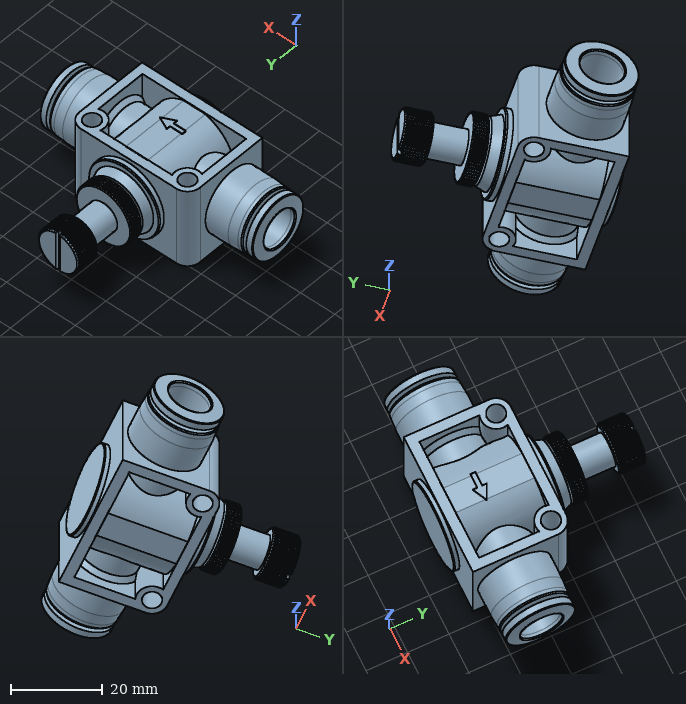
import cadquery as cq
import math


body_half_x = 17.5
body_half_z = 11.5
body_front = -10.0
body_back = 14.2
corner_radius = 3.65
side_wall = 2.45
front_wall = 2.65
back_wall = 2.5
mount_hole_diameter = 4.4
cavity_half_x = body_half_x - side_wall
cavity_front = body_front + front_wall
cavity_back = body_back - back_wall
mount_x = body_half_x - corner_radius
mount_y = body_back - corner_radius

core_radius = 11.7
core_flat_z = 11.25

stub_radius = 7.5
stub_flare_radius = 8.5
stub_flare_length = 1.3

cap_radius = 10.75
cap_height = 1.3
cap_chamfer = 0.25

port_radius = 8.8
port_straight_end = 24.05
port_taper_end = 26.7
port_taper_radius = 8.6
sleeve_chamfer_start = 27.7
sleeve_radius = 8.55
sleeve_end = 28.1
sleeve_end_radius = 8.35
neck_radius = 5.65
collar_start = 29.1
collar_radius = 8.4
collar_edge = 30.9
collar_edge_chamfer = 0.2
port_tip = 31.4
tube_radius = 5.0
tube_lead_radius = 5.1
tube_lead_depth = 1.25
tube_mouth_radius = 5.35
tube_mouth_depth = 0.3
tube_depth = 13.8
passage_radius = 4.0

flange_radius = 10.3
flange_chamfer_radial = 0.2
flange_chamfer_axial = 0.4
flange_end = 15.8
cone_base_radius = 8.65
cone_top_radius = 7.8
cone_end = 18.35
spacer_radius = 5.3
nut_start = 18.9
nut_end = 22.5
nut_radius = 8.1
nut_teeth = 60
nut_chamfer = 0.4
stem_radius = 4.1
knob_start = 30.85
knob_end = 37.35
knob_radius = 6.0
knob_teeth = 48
knob_chamfer = 0.5
knurl_depth = 0.25
knurl_crest_fraction = 0.25
knurl_clearance = 0.05
slot_width = 1.2
slot_depth = 0.95

arrow_tail_x = -3.5
arrow_neck_x = 0.0
arrow_tip_x = 3.5
arrow_shaft_half = 0.595
arrow_head_half = 1.7
arrow_height = 0.1
arrow_root = 0.1


def y_cylinder(radius, start, end):
    """Solid cylinder on the Y axis between two stations."""
    return cq.Workplane("XZ", origin=(0, start, 0)).circle(radius).extrude(start - end)


def x_cylinder(radius, half_length):
    """Solid cylinder on the X axis, centred on the origin."""
    return cq.Workplane("YZ").circle(radius).extrude(half_length, both=True)


def revolve_about_y(profile):
    """Revolve a closed profile of (radius, y) points about the Y axis."""
    return cq.Workplane("XY").polyline(profile).close().revolve(360, (0, 0, 0), (0, 1, 0))


def revolve_about_x(profile):
    """Revolve a closed profile of (x, radius) points about the X axis."""
    return cq.Workplane("XY").polyline(profile).close().revolve(360, (0, 0, 0), (1, 0, 0))


def on_both_sides(half):
    """Join a feature on the +X side with its mirror image on the -X side."""
    return half.union(half.mirror("YZ"))


def cavity_box(width, height):
    """Box as deep as the body cavity, centred on zero in X and Z."""
    mid_y = (cavity_front + cavity_back) / 2
    return cq.Workplane("XY").center(0, mid_y).box(width, cavity_back - cavity_front, height)


def make_frame():
    """Block with rounded back corners, open through Z, with a mounting boss in each back corner."""
    height = 2 * body_half_z
    depth = body_back - body_front
    block = (
        cq.Workplane("XY")
        .center(0, (body_front + body_back) / 2)
        .box(2 * body_half_x, depth, height)
        .edges("|Z and >Y")
        .fillet(corner_radius)
    )
    cavity = cavity_box(2 * cavity_half_x, height)
    bosses = (
        cq.Workplane("XY", origin=(0, 0, -body_half_z))
        .pushPoints([(-mount_x, mount_y), (mount_x, mount_y)])
        .circle(corner_radius)
        .extrude(height)
    )
    return block.cut(cavity).union(bosses)


def make_core():
    """Round core with two flats, and the flared stubs that meet it, trimmed to the cavity."""
    flats = cavity_box(2 * core_radius, 2 * core_flat_z)
    core = y_cylinder(core_radius, cavity_front, cavity_back).intersect(flats)
    flare = revolve_about_x([
        (0, 0),
        (0, stub_radius),
        (cavity_half_x - stub_flare_length, stub_radius),
        (cavity_half_x, stub_flare_radius),
        (cavity_half_x, 0),
    ])
    cavity = cavity_box(2 * cavity_half_x, 2 * body_half_z)
    return core.union(on_both_sides(flare).intersect(cavity))


def make_arrow():
    """Raised arrow; it starts below the flat so that its ends meet the round part of the core."""
    outline = [
        (arrow_tail_x, -arrow_shaft_half),
        (arrow_neck_x, -arrow_shaft_half),
        (arrow_neck_x, -arrow_head_half),
        (arrow_tip_x, 0),
        (arrow_neck_x, arrow_head_half),
        (arrow_neck_x, arrow_shaft_half),
        (arrow_tail_x, arrow_shaft_half),
    ]
    plane = cq.Workplane("XY", origin=(0, 0, core_flat_z - arrow_root))
    return plane.polyline(outline).close().extrude(arrow_root + arrow_height)


def make_port():
    """Outside of the +X port: tapered sleeve, neck and release collar with a conical face."""
    return revolve_about_x([
        (cavity_half_x, 0),
        (cavity_half_x, stub_flare_radius),
        (body_half_x, port_radius),
        (port_straight_end, port_radius),
        (port_taper_end, port_taper_radius),
        (sleeve_chamfer_start, sleeve_radius),
        (sleeve_end, sleeve_end_radius),
        (sleeve_end, neck_radius),
        (collar_start, neck_radius),
        (collar_start, collar_radius),
        (collar_edge - collar_edge_chamfer, collar_radius),
        (collar_edge, collar_radius - collar_edge_chamfer),
        (port_tip, tube_mouth_radius),
        (port_tip, 0),
    ])


def make_tube_socket():
    """Space for the tube in the +X port, with a chamfered mouth and a tapered lead-in."""
    return revolve_about_x([
        (port_tip - tube_depth, 0),
        (port_tip - tube_depth, tube_radius),
        (port_tip - tube_lead_depth, tube_radius),
        (port_tip - tube_mouth_depth, tube_lead_radius),
        (port_tip, tube_mouth_radius),
        (port_tip, 0),
    ])


def make_knurled_disc(radius, teeth, chamfer, start, end):
    """Disc on the Y axis with straight V grooves between flat-topped teeth and chamfered ends."""
    pitch = 2 * math.pi / teeth
    half_crest = pitch * knurl_crest_fraction / 2
    outline = []
    for i in range(teeth):
        crest = i * pitch
        corners = [
            (radius, crest - half_crest),
            (radius, crest + half_crest),
            (radius - knurl_depth, crest + pitch / 2),
        ]
        outline += [(r * math.cos(angle), r * math.sin(angle)) for r, angle in corners]
    toothed = cq.Workplane("XZ", origin=(0, start, 0)).polyline(outline).close().extrude(start - end)
    blank = y_cylinder(radius + knurl_clearance, start, end)
    blank = blank.faces("<Y or >Y").chamfer(chamfer + knurl_clearance)
    return toothed.intersect(blank)


def make_cap():
    """Round cap on the front face of the body."""
    cap = y_cylinder(cap_radius, body_front - cap_height, body_front)
    return cap.faces("<Y").chamfer(cap_chamfer)


def make_screw_stack():
    """Flange, cone, lock nut, stem and slotted knob behind the body."""
    turned = revolve_about_y([
        (0, body_back),
        (flange_radius, body_back),
        (flange_radius, flange_end - flange_chamfer_axial),
        (flange_radius - flange_chamfer_radial, flange_end),
        (cone_base_radius, flange_end),
        (cone_top_radius, cone_end),
        (spacer_radius, cone_end),
        (spacer_radius, nut_start),
        (stem_radius, nut_start),
        (stem_radius, knob_start),
        (0, knob_start),
    ])
    nut = make_knurled_disc(nut_radius, nut_teeth, nut_chamfer, nut_start, nut_end)
    knob = make_knurled_disc(knob_radius, knob_teeth, knob_chamfer, knob_start, knob_end)
    slot = (
        cq.Workplane("XY")
        .center(0, knob_end - slot_depth / 2)
        .box(slot_width, slot_depth, 2 * knob_radius)
    )
    return turned.union(nut).union(knob.cut(slot))


mount_holes = (
    cq.Workplane("XY")
    .pushPoints([(-mount_x, mount_y), (mount_x, mount_y)])
    .circle(mount_hole_diameter / 2)
    .extrude(body_half_z, both=True)
)

result = (
    make_frame()
    .union(make_core())
    .union(make_arrow())
    .union(on_both_sides(make_port()))
    .union(make_cap())
    .union(make_screw_stack())
    .cut(x_cylinder(passage_radius, port_tip))
    .cut(on_both_sides(make_tube_socket()))
    .cut(mount_holes)
)